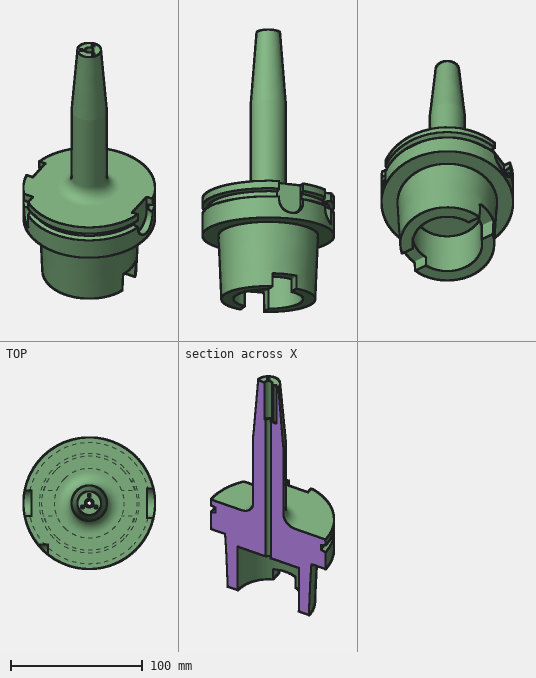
import cadquery as cq
import math

total_height = 210
flange_bottom = 50.0
flange_top = 79.0
neck_top = 152.9

shank_end_radius = 35.7
shank_radius = 37.8
flange_radius = 50.0
neck_radius = 13.5
tip_radius = 9.0
root_fillet = 10.0

groove_bottom = 66.5
groove_top = 73.0
groove_chamfer = 1.3
groove_radius = 46.0

shank_bore_radius = 26.5
shank_bore_depth = 42
tool_bore_radius = 3.2
tool_bore_depth = 35.7
through_radius = 2.0
coolant_radius = 1.0
coolant_circle_radius = 5.9
coolant_depth = 35.7
coolant_count = 3
first_coolant_angle = 90

notch_bottom = 54.5
drive_floor = 43.7
left_drive_width = 19.5
right_drive_width = 22.3
index_floor = 31.3
index_inner_wall = -31.3
index_width = left_drive_width

key_width = 19.3
left_key_height = 10.0
right_key_height = 15.5
key_corner_radius = 1.0


def turned_body():
    fillet_center_radius = neck_radius + root_fillet
    fillet_center_height = flange_top + root_fillet
    diagonal = root_fillet * math.sqrt(0.5)
    fillet_middle = (fillet_center_radius - diagonal, fillet_center_height - diagonal)
    profile = (
        cq.Workplane("XZ")
        .lineTo(shank_end_radius, 0)
        .lineTo(shank_radius, flange_bottom)
        .lineTo(flange_radius, flange_bottom)
        .lineTo(flange_radius, groove_bottom)
        .lineTo(groove_radius, groove_bottom + groove_chamfer)
        .lineTo(groove_radius, groove_top - groove_chamfer)
        .lineTo(flange_radius, groove_top)
        .lineTo(flange_radius, flange_top)
        .lineTo(fillet_center_radius, flange_top)
        .threePointArc(fillet_middle, (neck_radius, fillet_center_height))
        .lineTo(neck_radius, neck_top)
        .lineTo(tip_radius, total_height)
        .lineTo(0, total_height)
        .close()
    )
    return profile.revolve(360, (0, 0, 0), (0, 1, 0))


def bore(radius, bottom, top):
    return cq.Workplane("XY").workplane(offset=bottom).circle(radius).extrude(top - bottom)


def coolant_holes():
    return (
        cq.Workplane("XY")
        .workplane(offset=total_height - coolant_depth)
        .polarArray(coolant_circle_radius, first_coolant_angle, 360, coolant_count)
        .circle(coolant_radius)
        .extrude(coolant_depth)
    )


def rim_notch(side, floor, center_y, width):
    """Cutter open to the flange top and outward in X; side is -1 or +1."""
    radius = width / 2
    arc_height = notch_bottom + radius
    return (
        cq.Workplane("YZ")
        .workplane(offset=side * floor)
        .moveTo(center_y - radius, flange_top)
        .lineTo(center_y - radius, arc_height)
        .threePointArc((center_y, notch_bottom), (center_y + radius, arc_height))
        .lineTo(center_y + radius, flange_top)
        .close()
        .extrude(side * flange_radius)
    )


def keyway(side, height):
    """Cutter from the axis outward in X, with rounded upper corners."""
    return (
        cq.Workplane("XY")
        .box(shank_radius, key_width, height, centered=(True, True, False))
        .edges("|X and >Z")
        .fillet(key_corner_radius)
        .translate((side * shank_radius / 2, 0, 0))
    )


result = turned_body()

result = result.cut(bore(shank_bore_radius, 0, shank_bore_depth))
result = result.cut(bore(through_radius, 0, total_height))
result = result.cut(bore(tool_bore_radius, total_height - tool_bore_depth, total_height))
result = result.cut(coolant_holes())

index_center_y = index_inner_wall - index_width / 2
result = result.cut(rim_notch(-1, drive_floor, 0, left_drive_width))
result = result.cut(rim_notch(1, drive_floor, 0, right_drive_width))
result = result.cut(rim_notch(-1, index_floor, index_center_y, index_width))

result = result.cut(keyway(-1, left_key_height))
result = result.cut(keyway(1, right_key_height))